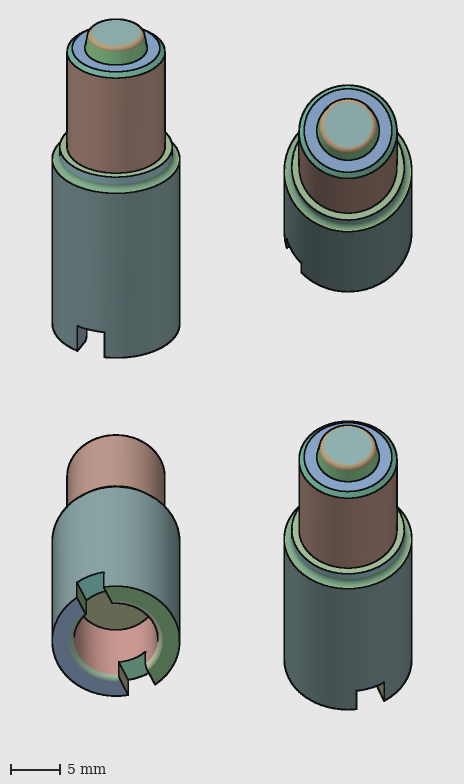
import cadquery as cq

SLEEVE_DIAMETER = 13.0
SHOULDER_HEIGHT = 19.9
COLLAR_DIAMETER = 11.45
COLLAR_TOP = 21.37
COLLAR_FILLET = 0.6
BORE_DIAMETER = 8.5
BORE_EDGE_FILLET = 0.5
SLOT_WIDTH = 3.0
SLOT_HEIGHT = 3.02

TOTAL_HEIGHT = 35.15
PIN_DIAMETER = 10.0
PIN_SHOULDER_HEIGHT = 33.3
PIN_CHAMFER_WIDTH = 0.53
PIN_CHAMFER_HEIGHT = 0.42
NOSE_BASE_DIAMETER = 6.35
NOSE_TOP_DIAMETER = 5.7
NOSE_FILLET = 0.5

PIN_EXPOSED_LENGTH = PIN_SHOULDER_HEIGHT - COLLAR_TOP
SEAT_HEIGHT = COLLAR_TOP - PIN_EXPOSED_LENGTH


def cylinder(diameter, bottom, top):
    """Upright cylinder on the Z axis between two heights."""
    return cq.Workplane("XY").workplane(offset=bottom).circle(diameter / 2).extrude(top - bottom)


def make_sleeve_blank():
    """Solid outer shape, with a concave fillet between collar and shoulder."""
    outer_radius = SLEEVE_DIAMETER / 2
    collar_radius = COLLAR_DIAMETER / 2
    return (
        cq.Workplane("XZ")
        .moveTo(0, 0)
        .lineTo(outer_radius, 0)
        .lineTo(outer_radius, SHOULDER_HEIGHT)
        .lineTo(collar_radius + COLLAR_FILLET, SHOULDER_HEIGHT)
        .radiusArc((collar_radius, SHOULDER_HEIGHT + COLLAR_FILLET), COLLAR_FILLET)
        .lineTo(collar_radius, COLLAR_TOP)
        .lineTo(0, COLLAR_TOP)
        .close()
        .revolve(360, (0, 0), (0, 1))
    )


def make_sleeve():
    """Sleeve with a rounded lower bore, a pin seat and a slot across its bottom."""
    sleeve = make_sleeve_blank()

    sleeve = sleeve.cut(cylinder(BORE_DIAMETER, 0, SEAT_HEIGHT))
    bore_edge = cq.selectors.RadiusNthSelector(0)
    sleeve = sleeve.faces("<Z").edges(bore_edge).fillet(BORE_EDGE_FILLET)

    sleeve = sleeve.cut(cylinder(PIN_DIAMETER, SEAT_HEIGHT, COLLAR_TOP))

    slot = cq.Workplane("XY").box(SLOT_WIDTH, SLEEVE_DIAMETER, SLOT_HEIGHT, centered=(True, True, False))
    return sleeve.cut(slot)


def make_pin():
    """Shaft with a chamfered shoulder and a rounded, tapered nose."""
    shaft = cylinder(PIN_DIAMETER, SEAT_HEIGHT, PIN_SHOULDER_HEIGHT)
    shaft = shaft.faces(">Z").chamfer(PIN_CHAMFER_HEIGHT, PIN_CHAMFER_WIDTH)
    nose = (
        cq.Workplane("XZ")
        .moveTo(0, PIN_SHOULDER_HEIGHT)
        .lineTo(NOSE_BASE_DIAMETER / 2, PIN_SHOULDER_HEIGHT)
        .lineTo(NOSE_TOP_DIAMETER / 2, TOTAL_HEIGHT)
        .lineTo(0, TOTAL_HEIGHT)
        .close()
        .revolve(360, (0, 0), (0, 1))
        .faces(">Z")
        .edges()
        .fillet(NOSE_FILLET)
    )
    return shaft.union(nose)


sleeve = make_sleeve()
pin = make_pin()
result = cq.Compound.makeCompound([sleeve.val(), pin.val()])